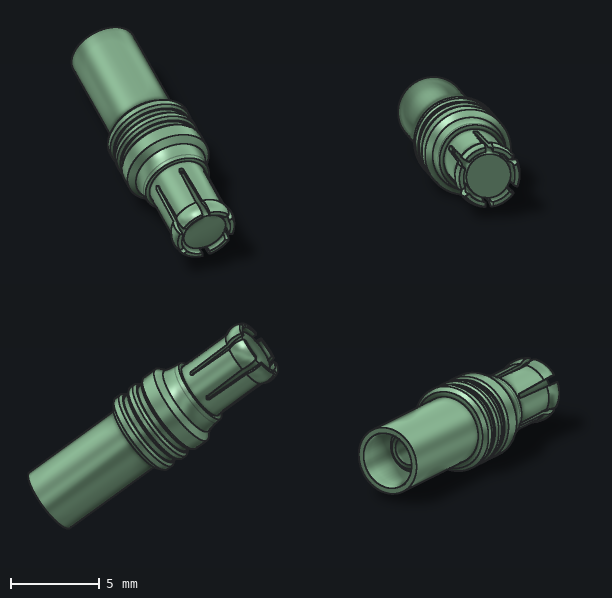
import cadquery as cq
overall_length = 15.19

ferrule_length = 6.41
ferrule_diameter = 3.92
ferrule_bore = 3.25

stem_start = 2.13
stem_diameter = 2.69
stem_bevel = 0.26
stem_bore = 1.7

collar_start = ferrule_length
collar_diameter = 5.0
collar_bevel = 0.25
shoulder_start = 9.57
shoulder_length = 0.36

groove_count = 2
groove_diameter = 4.51
groove_pitch = 1.0
groove_width = 0.36
first_groove_start = 7.2
groove_bevel_depth = 0.14
groove_rear_bevel_length = 0.18
groove_front_bevel_length = 0.17

taper_end = 10.66
taper_end_diameter = 3.98
taper_hollow = 0.023
nose_end = 10.94
nose_end_diameter = 3.9

sleeve_diameter = 3.42
sleeve_bore = 2.92
bulge_start = 14.14
bulge_middle = 14.67
bulge_diameter = 3.74
front_diameter = 3.48
cavity_rise = 0.1

slot_count = 6
slot_start = 11.41
slot_rear_width = 0.25
slot_front_width = 0.44

core_diameter = 2.57
core_end = 14.98


def revolve_about_x(profile):
    """Close a profile of (x, radius) points and turn it about the X axis."""
    return profile.close().revolve(360, (0, 0, 0), (1, 0, 0))


def cylinder(start, end, diameter):
    """Make a plain cylinder along the X axis."""
    return cq.Workplane("YZ", origin=(start, 0, 0)).circle(diameter / 2).extrude(end - start)


def make_ferrule():
    """Plain tube around the stem."""
    outside = cylinder(0, ferrule_length, ferrule_diameter)
    return outside.cut(cylinder(0, ferrule_length, ferrule_bore))


def make_turned_blank():
    """Solid outer shape of the stem, collar, nose and sleeve, without grooves or slots."""
    stem_radius = stem_diameter / 2
    collar_radius = collar_diameter / 2
    sleeve_radius = sleeve_diameter / 2
    shoulder_end = shoulder_start + shoulder_length
    shoulder_radius = collar_radius - shoulder_length
    taper_end_radius = taper_end_diameter / 2
    taper_middle = (shoulder_end + taper_end) / 2
    taper_middle_radius = (shoulder_radius + taper_end_radius) / 2 - taper_hollow
    profile = (
        cq.Workplane("XY")
        .moveTo(stem_start, 0)
        .lineTo(stem_start, stem_radius - stem_bevel)
        .lineTo(stem_start + stem_bevel, stem_radius)
        .lineTo(collar_start, stem_radius)
        .lineTo(collar_start, collar_radius - collar_bevel)
        .lineTo(collar_start + collar_bevel, collar_radius)
        .lineTo(shoulder_start, collar_radius)
        .lineTo(shoulder_end, shoulder_radius)
        .threePointArc((taper_middle, taper_middle_radius), (taper_end, taper_end_radius))
        .lineTo(nose_end, nose_end_diameter / 2)
        .lineTo(nose_end, sleeve_radius)
        .lineTo(bulge_start, sleeve_radius)
        .threePointArc((bulge_middle, bulge_diameter / 2), (overall_length, front_diameter / 2))
        .lineTo(overall_length, 0)
    )
    return revolve_about_x(profile)


def make_groove(start):
    """Cutter for one collar groove whose rear wall is at the given X."""
    collar_radius = collar_diameter / 2
    groove_radius = groove_diameter / 2
    wall_radius = collar_radius - groove_bevel_depth
    end = start + groove_width
    profile = (
        cq.Workplane("XY")
        .moveTo(start, groove_radius)
        .lineTo(start, wall_radius)
        .lineTo(start - groove_rear_bevel_length, collar_radius)
        .lineTo(end + groove_front_bevel_length, collar_radius)
        .lineTo(end, wall_radius)
        .lineTo(end, groove_radius)
    )
    return revolve_about_x(profile)


def make_slot(angle):
    """Cutter for one radial slot with a round rear end, turned about X by the given angle."""
    rear_radius = slot_rear_width / 2
    round_centre = slot_start + rear_radius
    slot = (
        cq.Workplane("XY")
        .moveTo(round_centre, rear_radius)
        .lineTo(overall_length, slot_front_width / 2)
        .lineTo(overall_length, -slot_front_width / 2)
        .lineTo(round_centre, -rear_radius)
        .threePointArc((slot_start, 0), (round_centre, rear_radius))
        .close()
        .extrude(collar_diameter / 2)
    )
    return slot.rotate((0, 0, 0), (1, 0, 0), angle)


def make_sleeve_cavity():
    """Bore of the sleeve, swelling at the front to follow the snap bulge outside it."""
    bore_radius = sleeve_bore / 2
    wall = (sleeve_diameter - sleeve_bore) / 2
    profile = (
        cq.Workplane("XY")
        .moveTo(slot_start, 0)
        .lineTo(slot_start, bore_radius)
        .lineTo(bulge_start, bore_radius)
        .threePointArc(
            (bulge_middle, bore_radius + cavity_rise),
            (overall_length, front_diameter / 2 - wall),
        )
        .lineTo(overall_length, 0)
    )
    return revolve_about_x(profile)


def make_core():
    """Cylinder in the middle of the sleeve, which the slots and the cavity leave standing."""
    return cylinder(slot_start, core_end, core_diameter)


def make_plug():
    """Stem, collar, nose, slotted sleeve and core in one piece."""
    core = make_core()
    plug = make_turned_blank()
    plug = plug.cut(cylinder(stem_start, collar_start, stem_bore))
    for index in range(groove_count):
        plug = plug.cut(make_groove(first_groove_start + index * groove_pitch))
    plug = plug.cut(make_sleeve_cavity().cut(core))
    for index in range(slot_count):
        plug = plug.cut(make_slot(index * 360 / slot_count).cut(core))
    return plug


ferrule = make_ferrule()
plug = make_plug()

result = cq.Compound.makeCompound([ferrule.val(), plug.val()])